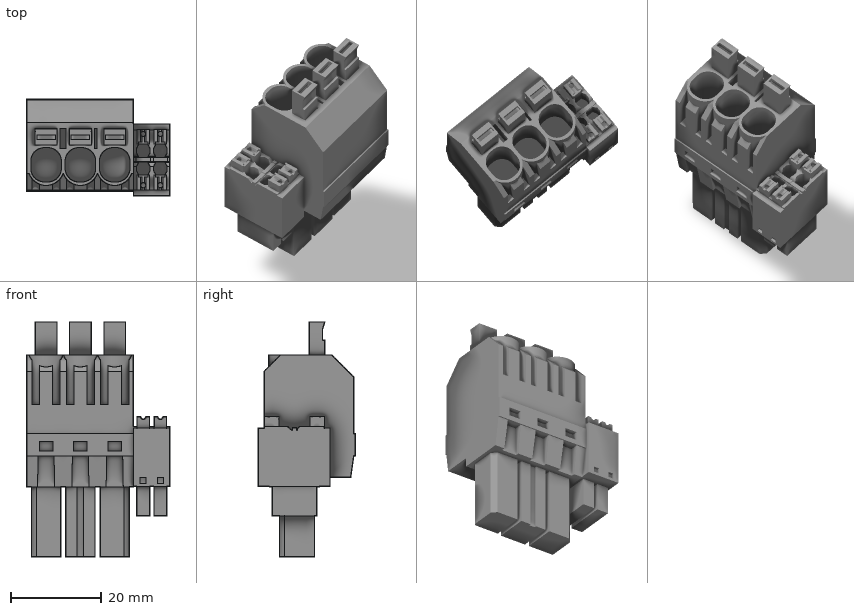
import cadquery as cq


POWER_LENGTH = 23.65
POWER_PITCH = 7.6
POWER_MIDDLE = 11.95
POWER_POLES = [POWER_MIDDLE + i * POWER_PITCH for i in (-1, 0, 1)]
POWER_TOP = 44.75
POWER_BOTTOM = 15.5
BACK_BOTTOM = 17.6
BACK_BOTTOM_FRONT_Y = 2.35
HALF_DEPTH = 9.95
BACK_CHAMFER = 4.9
FRONT_CHAMFER = 3.65
BAND_PROUD = 0.3
BAND_TOP = 27.3
BAND_BOTTOM = 22.35
FRONT_TOE_Y = -8.8
BACK_TOE_Y = 9.3

BORE_DEPTH_Y = 7.6
BORE_CORNER_RADIUS = 3.0
BORE_WIDTH = 6.8
BORE_Y = -4.4
BORE_FLOOR = 33.7
TUBE_RADIUS = 4.0
TUBE_Y = -4.95
SLOT_SPAN = 6.25
RIB_WIDTH = 2.9

WINDOW_WIDTH = 3.0
WINDOW_HEIGHT = 2.05
WINDOW_BOTTOM = 23.5
WINDOW_DEPTH = 1.35

RECESS_TOP_WIDTH = 3.55
RECESS_BOTTOM_WIDTH = 3.8
RECESS_BACK_Y = -7.95

CODING_SLOTS = [(8.1, 1.4), (15.35, 0.55)]
CODING_FRONT_Y = -0.8
LEVER_POCKET_BACK_Y = 3.7
TOP_POCKET_DEPTH = 5.2

PLUG_WIDTH = 6.5
PLUG_FRONT_Y = -6.55
PLUG_BACK_Y = 1.25
END_PLUG_BACK_Y = 0.95
PLUG_CHAMFER = 1.15
PLUG_BACK_CHAMFER = 0.39
PLUG_NOTCH_WIDTH = 1.45
PLUG_NOTCH_DEPTH = 0.5

LEVER_WIDTH = 4.85
LEVER_FRONT_Y = 0.05
LEVER_BACK_Y = 3.55
LEVER_TOP = 52.1
LEVER_BOTTOM = POWER_TOP - TOP_POCKET_DEPTH
LEVER_NOTCH_DEPTH = 0.5
LEVER_NOTCH_BOTTOM = 48.05
LEVER_NOTCH_TOP = 50.45
LEVER_SLOT_WIDTH = 4.05
LEVER_SLOT_DEPTH = 1.05
LEVER_SLOT_THICKNESS = 1.05
LEVER_SLOT_Y = 1.7

SIGNAL_LENGTH = 8.15
SIGNAL_PITCH = 3.8
SIGNAL_MIDDLE = 27.8
SIGNAL_POLES = [SIGNAL_MIDDLE + i * SIGNAL_PITCH / 2 for i in (-1, 1)]
SIGNAL_ROW_PLANE_Y = -3.25
SIGNAL_FRONT_Y = -11.25
SIGNAL_BACK_Y = 4.7
SIGNAL_BOTTOM = 15.65
SIGNAL_RIM_TOP = 28.5
SIGNAL_TOP = 28.9
SIGNAL_CORE_FRONT_Y = -9.95
SIGNAL_CORE_BACK_Y = 3.35

SIGNAL_BORE_WIDTH = 3.0
SIGNAL_BORE_DEPTH = 2.9
SIGNAL_BORE_OFFSET = 2.0
SIGNAL_BORE_CORNER_X = 0.5
SIGNAL_BORE_CORNER_Y = 1.0
SIGNAL_BORE_FLOOR = 23.45

VALLEY_WIDTH = 1.35
VALLEY_DEPTH = 0.85
RIDGE_WIDTH = 0.9
RIDGE_HEIGHT = 0.55
RIDGE_DIP_LENGTH = 3.15
RIDGE_DIP_DEPTH = 0.15

SIGNAL_WINDOW = 1.3
SIGNAL_WINDOW_BOTTOM = 16.25
SIGNAL_WINDOW_DEPTH = 0.6
SIGNAL_WINDOW_PITCH = 7.5

SIGNAL_PLUG_WIDTH = 2.9
SIGNAL_PLUG_FRONT_Y = -8.2
SIGNAL_PLUG_BACK_Y = 1.75
SIGNAL_PLUG_BOTTOM = 9.05

SIGNAL_LEVER_WIDTH = 2.8
SIGNAL_LEVER_LENGTH = 3.3
SIGNAL_LEVER_OUTER = SIGNAL_ROW_PLANE_Y - SIGNAL_CORE_FRONT_Y
SIGNAL_LEVER_TOP = 31.05
SIGNAL_LEVER_BOTTOM = 26.05
GROOVE_TOP_WIDTH = 1.25
GROOVE_FLOOR_WIDTH = 0.5
GROOVE_DEPTH = 0.5
LEVER_HOLE_RADIUS = 0.55
LEVER_HOLE_OFFSET = 5.7
LEVER_HOLE_DEPTH = 0.5
LEVER_STEP_WIDTH = 2.1
LEVER_STEP_LENGTH = 0.4


def block(x_range, y_range, z_range):
    """Box between two values on each axis."""
    (x0, x1), (y0, y1), (z0, z1) = x_range, y_range, z_range
    return cq.Workplane("XY").box(x1 - x0, y1 - y0, z1 - z0, centered=False).translate((x0, y0, z0))


def around(middle, width):
    """Pair of values that lie half a width to either side of the middle."""
    return (middle - width / 2, middle + width / 2)


def upright_cylinder(x, y, radius, z_range):
    bottom, top = z_range
    return cq.Workplane("XY", origin=(x, y, bottom)).circle(radius).extrude(top - bottom)


def prism_along_x(points, x_range):
    """Outline of (y, z) points extruded along X."""
    start, end = x_range
    return cq.Workplane("YZ", origin=(start, 0, 0)).polyline(points).close().extrude(end - start)


def power_shell():
    band_y = HALF_DEPTH + BAND_PROUD
    outline = [
        (HALF_DEPTH - BACK_CHAMFER, POWER_TOP),
        (HALF_DEPTH, POWER_TOP - BACK_CHAMFER),
        (HALF_DEPTH, BAND_TOP),
        (band_y, BAND_TOP),
        (band_y, BAND_BOTTOM),
        (HALF_DEPTH, BAND_BOTTOM),
        (BACK_TOE_Y, BACK_BOTTOM),
        (BACK_BOTTOM_FRONT_Y, BACK_BOTTOM),
        (BACK_BOTTOM_FRONT_Y, POWER_BOTTOM),
        (FRONT_TOE_Y, POWER_BOTTOM),
        (-HALF_DEPTH, BAND_BOTTOM),
        (-band_y, BAND_BOTTOM),
        (-band_y, BAND_TOP),
        (-HALF_DEPTH, BAND_TOP),
        (-HALF_DEPTH, POWER_TOP),
    ]
    return prism_along_x(outline, (0, POWER_LENGTH))


def wire_tube(x):
    return upright_cylinder(x, TUBE_Y, TUBE_RADIUS, (BORE_FLOOR, POWER_TOP))


def front_clearance():
    """Front chamfer and slots in one piece, which leaves the tubes standing clear."""
    chamfer = [
        (-HALF_DEPTH, POWER_TOP - FRONT_CHAMFER),
        (-HALF_DEPTH, POWER_TOP),
        (FRONT_CHAMFER - HALF_DEPTH, POWER_TOP),
    ]
    clearance = prism_along_x(chamfer, (0, POWER_LENGTH))
    slot_width = (SLOT_SPAN - RIB_WIDTH) / 2
    for x in POWER_POLES:
        for side in (-1, 1):
            slot_x = around(x + side * (RIB_WIDTH + slot_width) / 2, slot_width)
            clearance = clearance.union(block(slot_x, (-HALF_DEPTH, TUBE_Y), (BORE_FLOOR, POWER_TOP)))
    for x in POWER_POLES:
        clearance = clearance.cut(wire_tube(x))
    return clearance


def wire_bore(x):
    bore = block(around(x, BORE_WIDTH), around(BORE_Y, BORE_DEPTH_Y), (BORE_FLOOR, POWER_TOP))
    return bore.edges("|Z").fillet(BORE_CORNER_RADIUS)


def band_window(x):
    front = -HALF_DEPTH - BAND_PROUD
    height = (WINDOW_BOTTOM, WINDOW_BOTTOM + WINDOW_HEIGHT)
    return block(around(x, WINDOW_WIDTH), (front, front + WINDOW_DEPTH), height)


def grip_recess(x):
    """Recess in the front slope, a little wider at the bottom."""
    outline = [
        (x - RECESS_TOP_WIDTH / 2, BAND_BOTTOM),
        (x + RECESS_TOP_WIDTH / 2, BAND_BOTTOM),
        (x + RECESS_BOTTOM_WIDTH / 2, POWER_BOTTOM),
        (x - RECESS_BOTTOM_WIDTH / 2, POWER_BOTTOM),
    ]
    depth = HALF_DEPTH + RECESS_BACK_Y
    return cq.Workplane("XZ", origin=(0, RECESS_BACK_Y, 0)).polyline(outline).close().extrude(depth)


def power_lever_pocket(x):
    return block(
        around(x, LEVER_WIDTH), (LEVER_FRONT_Y, LEVER_POCKET_BACK_Y), (LEVER_BOTTOM, POWER_TOP)
    )


def power_plugs():
    """Three plugs, each keyed in its own way."""
    height = (0, POWER_BOTTOM)
    left_x, middle_x, right_x = POWER_POLES

    left = block(around(left_x, PLUG_WIDTH), (PLUG_FRONT_Y, END_PLUG_BACK_Y), height)
    left = left.edges("|Z and <X and <Y").chamfer(PLUG_CHAMFER)
    left = left.edges("|Z and <X and >Y").chamfer(PLUG_BACK_CHAMFER)

    middle = block(around(middle_x, PLUG_WIDTH), (PLUG_FRONT_Y, PLUG_BACK_Y), height)
    notch_depth = (PLUG_FRONT_Y, PLUG_FRONT_Y + PLUG_NOTCH_DEPTH)
    middle = middle.cut(block(around(middle_x, PLUG_NOTCH_WIDTH), notch_depth, height))

    right = block(around(right_x, PLUG_WIDTH), (PLUG_FRONT_Y, PLUG_BACK_Y), height)
    right = right.edges("|Z and >X and <Y").chamfer(PLUG_CHAMFER)
    return [left, middle, right]


def power_block():
    body = power_shell().cut(front_clearance())
    for x in POWER_POLES:
        body = body.cut(wire_bore(x))
        body = body.cut(band_window(x))
        body = body.cut(grip_recess(x))
        body = body.cut(power_lever_pocket(x))
    for x, width in CODING_SLOTS:
        body = body.cut(
            block(around(x, width), (CODING_FRONT_Y, LEVER_POCKET_BACK_Y), (LEVER_BOTTOM, POWER_TOP))
        )
    for plug in power_plugs():
        body = body.union(plug)
    return body


def row_range(side, inner, outer):
    """Y range between two distances from the row plane; side is 1 at the back, -1 at the front."""
    return tuple(sorted(SIGNAL_ROW_PLANE_Y + side * distance for distance in (inner, outer)))


def signal_lever_range(side):
    return row_range(side, SIGNAL_LEVER_OUTER - SIGNAL_LEVER_LENGTH, SIGNAL_LEVER_OUTER)


def signal_bore(x, side):
    """Eight-sided wire entry."""
    y = SIGNAL_ROW_PLANE_Y + side * SIGNAL_BORE_OFFSET
    half_x = SIGNAL_BORE_WIDTH / 2
    half_y = SIGNAL_BORE_DEPTH / 2
    flat_x = half_x - SIGNAL_BORE_CORNER_X
    flat_y = half_y - SIGNAL_BORE_CORNER_Y
    outline = [
        (flat_x, half_y),
        (half_x, flat_y),
        (half_x, -flat_y),
        (flat_x, -half_y),
        (-flat_x, -half_y),
        (-half_x, -flat_y),
        (-half_x, flat_y),
        (-flat_x, half_y),
    ]
    plane = cq.Workplane("XY", origin=(x, y, SIGNAL_BORE_FLOOR))
    return plane.polyline(outline).close().extrude(SIGNAL_TOP - SIGNAL_BORE_FLOOR)


def signal_valley():
    """Valley between the rows: rounded edge at the back, chamfered edge in front, ridge on its floor."""
    floor = SIGNAL_TOP - VALLEY_DEPTH
    front, back = around(SIGNAL_ROW_PLANE_Y, VALLEY_WIDTH)
    round_offset = VALLEY_DEPTH * (1 - 0.5 ** 0.5)
    length = (POWER_LENGTH, POWER_LENGTH + SIGNAL_LENGTH)
    valley = (
        cq.Workplane("YZ", origin=(POWER_LENGTH, 0, 0))
        .moveTo(front - VALLEY_DEPTH, SIGNAL_TOP)
        .lineTo(front, floor)
        .lineTo(back, floor)
        .threePointArc((back + round_offset, SIGNAL_TOP - round_offset), (back + VALLEY_DEPTH, SIGNAL_TOP))
        .close()
        .extrude(SIGNAL_LENGTH)
    )
    ridge_y = around(SIGNAL_ROW_PLANE_Y, RIDGE_WIDTH)
    ridge_top = floor + RIDGE_HEIGHT
    valley = valley.cut(block(length, ridge_y, (floor, ridge_top)))
    for x in SIGNAL_POLES:
        dip_z = (ridge_top - RIDGE_DIP_DEPTH, ridge_top)
        valley = valley.union(block(around(x, RIDGE_DIP_LENGTH), ridge_y, dip_z))
    return valley


def signal_block():
    length = (POWER_LENGTH, POWER_LENGTH + SIGNAL_LENGTH)
    body = block(length, (SIGNAL_FRONT_Y, SIGNAL_BACK_Y), (SIGNAL_BOTTOM, SIGNAL_RIM_TOP))
    core_y = (SIGNAL_CORE_FRONT_Y, SIGNAL_CORE_BACK_Y)
    body = body.union(block(length, core_y, (SIGNAL_BOTTOM, SIGNAL_TOP)))
    body = body.cut(signal_valley())
    for x in SIGNAL_POLES:
        for side in (-1, 1):
            body = body.cut(signal_bore(x, side))
            pocket_z = (SIGNAL_LEVER_BOTTOM, SIGNAL_TOP)
            body = body.cut(block(around(x, SIGNAL_LEVER_WIDTH), signal_lever_range(side), pocket_z))
        plug_y = (SIGNAL_PLUG_FRONT_Y, SIGNAL_PLUG_BACK_Y)
        plug_z = (SIGNAL_PLUG_BOTTOM, SIGNAL_BOTTOM)
        body = body.union(block(around(x, SIGNAL_PLUG_WIDTH), plug_y, plug_z))
    for i in (-0.5, 0.5):
        window_x = around(SIGNAL_MIDDLE + i * SIGNAL_WINDOW_PITCH / 2, SIGNAL_WINDOW)
        window_y = (SIGNAL_FRONT_Y, SIGNAL_FRONT_Y + SIGNAL_WINDOW_DEPTH)
        window_z = (SIGNAL_WINDOW_BOTTOM, SIGNAL_WINDOW_BOTTOM + SIGNAL_WINDOW)
        body = body.cut(block(window_x, window_y, window_z))
    return body


def make_housing():
    """Both blocks are one moulding."""
    return power_block().union(signal_block())


def make_power_lever(x):
    """Push lever with a finger notch at the back and a screwdriver slot on top."""
    notch_y = LEVER_BACK_Y - LEVER_NOTCH_DEPTH
    outline = [
        (LEVER_FRONT_Y, LEVER_BOTTOM),
        (LEVER_BACK_Y, LEVER_BOTTOM),
        (LEVER_BACK_Y, LEVER_NOTCH_BOTTOM),
        (notch_y, LEVER_NOTCH_BOTTOM),
        (notch_y, LEVER_NOTCH_TOP),
        (LEVER_BACK_Y, LEVER_TOP),
        (LEVER_FRONT_Y, LEVER_TOP),
    ]
    slot_y = around(LEVER_SLOT_Y, LEVER_SLOT_THICKNESS)
    slot = block(around(x, LEVER_SLOT_WIDTH), slot_y, (LEVER_TOP - LEVER_SLOT_DEPTH, LEVER_TOP))
    return prism_along_x(outline, around(x, LEVER_WIDTH)).cut(slot)


def make_signal_lever(x, side):
    """Small lever with a tapered groove along it, a round hole in the groove and a step at its inner end."""
    lever_y = signal_lever_range(side)
    front, back = lever_y
    lever = block(around(x, SIGNAL_LEVER_WIDTH), lever_y, (SIGNAL_LEVER_BOTTOM, SIGNAL_LEVER_TOP))

    groove_floor = SIGNAL_LEVER_TOP - GROOVE_DEPTH
    groove_outline = [
        (x - GROOVE_TOP_WIDTH / 2, SIGNAL_LEVER_TOP),
        (x + GROOVE_TOP_WIDTH / 2, SIGNAL_LEVER_TOP),
        (x + GROOVE_FLOOR_WIDTH / 2, groove_floor),
        (x - GROOVE_FLOOR_WIDTH / 2, groove_floor),
    ]
    plane = cq.Workplane("XZ", origin=(0, back, 0))
    lever = lever.cut(plane.polyline(groove_outline).close().extrude(back - front))

    hole_y = SIGNAL_ROW_PLANE_Y + side * LEVER_HOLE_OFFSET
    hole_z = (groove_floor - LEVER_HOLE_DEPTH, SIGNAL_LEVER_TOP)
    lever = lever.cut(upright_cylinder(x, hole_y, LEVER_HOLE_RADIUS, hole_z))

    inner = SIGNAL_LEVER_OUTER - SIGNAL_LEVER_LENGTH
    step_y = row_range(side, inner, inner + LEVER_STEP_LENGTH)
    return lever.cut(block(around(x, LEVER_STEP_WIDTH), step_y, (groove_floor, SIGNAL_LEVER_TOP)))


housing = make_housing()
power_levers = [make_power_lever(x) for x in POWER_POLES]
signal_levers = [make_signal_lever(x, side) for x in SIGNAL_POLES for side in (-1, 1)]

result = cq.Compound.makeCompound(
    [housing.val(), *[lever.val() for lever in power_levers], *[lever.val() for lever in signal_levers]]
)